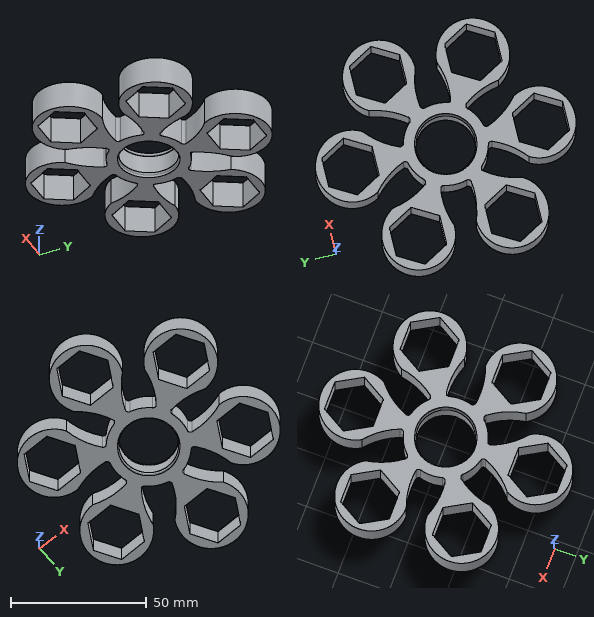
import cadquery as cq
import math

thickness = 11.1
tip_radius = 49.2
arm_count = 6

head_radius = 13.7
head_distance = tip_radius - head_radius
hex_distance = 36.2
hex_across_corners = 22.0

hub_radius = 15.7
bore_diameter = 22.0
recess_diameter = 23.0
recess_wall_depth = 1.2
recess_floor_depth = 1.9
recess_floor_radius = 0.74

flank_radius = 29.5
flank_end_angle = math.radians(-30)
neck_half_width = 1.9
neck_start = 13.4
root_fillet = 1.2


def make_arm():
    """Arm along +Y: two concave flanks running from the hub into a round head."""
    flank_end_x = head_radius * math.cos(flank_end_angle)
    flank_end_y = head_distance + head_radius * math.sin(flank_end_angle)

    return (
        cq.Workplane("XY")
        .moveTo(neck_half_width, neck_start)
        .radiusArc((flank_end_x, flank_end_y), flank_radius)
        .threePointArc((0, tip_radius), (-flank_end_x, flank_end_y))
        .radiusArc((-neck_half_width, neck_start), flank_radius)
        .close()
        .extrude(thickness)
    )


def make_hex_socket():
    """Through hexagon with a flat facing the hub."""
    return (
        cq.Workplane("XY")
        .center(0, hex_distance)
        .polygon(6, hex_across_corners)
        .extrude(thickness)
    )


def around_hub(shape, index):
    return shape.rotate((0, 0, 0), (0, 0, 1), index * 360 / arm_count)


body = cq.Workplane("XY").circle(hub_radius).extrude(thickness)
arm = make_arm()
for index in range(arm_count):
    body = body.union(around_hub(arm, index))

root_zone_radius = hub_radius + root_fillet
root_zone = cq.selectors.BoxSelector(
    (-root_zone_radius, -root_zone_radius, 0),
    (root_zone_radius, root_zone_radius, thickness),
)
body = body.edges("|Z").edges(root_zone).fillet(root_fillet)

socket = make_hex_socket()
for index in range(arm_count):
    body = body.cut(around_hub(socket, index))

bore_radius = bore_diameter / 2
recess_radius = recess_diameter / 2
bore_tool = (
    cq.Workplane("XZ")
    .moveTo(0, 0)
    .lineTo(recess_radius, 0)
    .lineTo(recess_radius, recess_wall_depth)
    .radiusArc((bore_radius, recess_floor_depth), -recess_floor_radius)
    .lineTo(bore_radius, thickness - recess_floor_depth)
    .radiusArc((recess_radius, thickness - recess_wall_depth), -recess_floor_radius)
    .lineTo(recess_radius, thickness)
    .lineTo(0, thickness)
    .close()
    .revolve(axisStart=(0, 0, 0), axisEnd=(0, 1, 0))
)
body = body.cut(bore_tool)

result = body